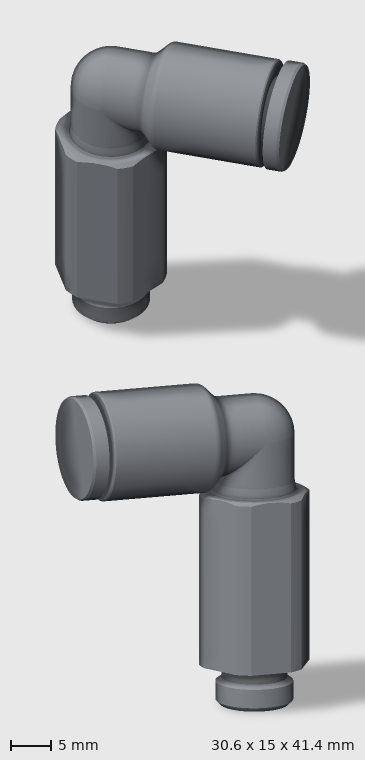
import cadquery as cq
import math

overall_height = 41.4
body_radius = 6.85
outlet_z = overall_height - body_radius
elbow_radius = 5.0

hex_across_flats = 13.0
hex_corner_radius = 7.0
hex_bottom_z = 5.3
hex_top_z = 27.32
hex_top_face_radius = 6.38
hex_chamfer_angle = 30.0
hex_turn = 30.0

foot_radius = 5.2
foot_top_z = 28.7
foot_skirt_radius = 5.45
foot_skirt_height = 0.15

plug_radius = 4.85
plug_bottom_chamfer = 0.6
plug_shoulder_z = 2.95
neck_radius = 4.1
neck_bottom_z = 3.45
neck_fillet = 0.35

cone_start_x = 5.05
cone_angle = 45.0
cone_length = (body_radius - elbow_radius) / math.tan(math.radians(cone_angle))
cone_fillet = 1.0
body_end_x = 20.58
body_end_chamfer = 0.15

collar_neck_radius = 4.75
collar_start_x = 21.53
collar_end_x = 23.6
collar_half_width = 7.5
collar_half_height = 6.45
collar_chamfer_length = 0.35
collar_chamfer_depth = 0.15


def make_hex_sleeve():
    height = hex_top_z - hex_bottom_z
    chamfer_drop = (hex_corner_radius - hex_top_face_radius) * math.tan(math.radians(hex_chamfer_angle))
    prism = (
        cq.Workplane("XY", origin=(0, 0, hex_bottom_z))
        .polygon(6, hex_across_flats, circumscribed=True)
        .extrude(height)
        .rotate((0, 0, 0), (0, 0, 1), hex_turn)
    )
    envelope = (
        cq.Workplane("XZ")
        .moveTo(0, hex_bottom_z)
        .lineTo(hex_corner_radius, hex_bottom_z)
        .lineTo(hex_corner_radius, hex_top_z - chamfer_drop)
        .lineTo(hex_top_face_radius, hex_top_z)
        .lineTo(0, hex_top_z)
        .close()
        .revolve(360, (0, 0, 0), (0, 1, 0))
    )
    return prism.intersect(envelope)


def make_plug():
    return (
        cq.Workplane("XZ")
        .moveTo(0, 0)
        .lineTo(plug_radius - plug_bottom_chamfer, 0)
        .lineTo(plug_radius, plug_bottom_chamfer)
        .lineTo(plug_radius, plug_shoulder_z)
        .lineTo(neck_radius, neck_bottom_z)
        .lineTo(neck_radius, hex_bottom_z - neck_fillet)
        .radiusArc((neck_radius + neck_fillet, hex_bottom_z), neck_fillet)
        .lineTo(0, hex_bottom_z)
        .close()
        .revolve(360, (0, 0, 0), (0, 1, 0))
    )


def make_elbow():
    riser = (
        cq.Workplane("XZ")
        .moveTo(0, hex_top_z)
        .lineTo(foot_skirt_radius, hex_top_z)
        .lineTo(foot_radius, hex_top_z + foot_skirt_height)
        .lineTo(elbow_radius, foot_top_z)
        .lineTo(elbow_radius, outlet_z)
        .lineTo(0, outlet_z)
        .close()
        .revolve(360, (0, 0, 0), (0, 1, 0))
    )
    ball = cq.Workplane("XY").sphere(elbow_radius).translate((0, 0, outlet_z))
    return riser.union(ball)


def make_outlet_body():
    tangent = cone_fillet * math.tan(math.radians(cone_angle / 2))
    diagonal = tangent * math.cos(math.radians(cone_angle))
    cone_end_x = cone_start_x + cone_length
    profile = (
        cq.Workplane("XY")
        .lineTo(0, elbow_radius)
        .lineTo(cone_start_x - tangent, elbow_radius)
        .radiusArc((cone_start_x + diagonal, elbow_radius + diagonal), -cone_fillet)
        .lineTo(cone_end_x - diagonal, body_radius - diagonal)
        .radiusArc((cone_end_x + tangent, body_radius), cone_fillet)
        .lineTo(body_end_x - body_end_chamfer, body_radius)
        .lineTo(body_end_x, body_radius - body_end_chamfer)
        .lineTo(body_end_x, collar_neck_radius)
        .lineTo(collar_start_x, collar_neck_radius)
        .lineTo(collar_start_x, 0)
        .close()
    )
    return profile.revolve(360, (0, 0, 0), (1, 0, 0)).translate((0, 0, outlet_z))


def make_collar():
    collar = (
        cq.Workplane("YZ", origin=(collar_start_x, 0, outlet_z))
        .ellipse(collar_half_width, collar_half_height)
        .extrude(collar_end_x - collar_start_x)
    )
    return collar.faces(">X").chamfer(collar_chamfer_length, collar_chamfer_depth)


result = make_hex_sleeve()
for piece in (make_plug(), make_elbow(), make_outlet_body(), make_collar()):
    result = result.union(piece)